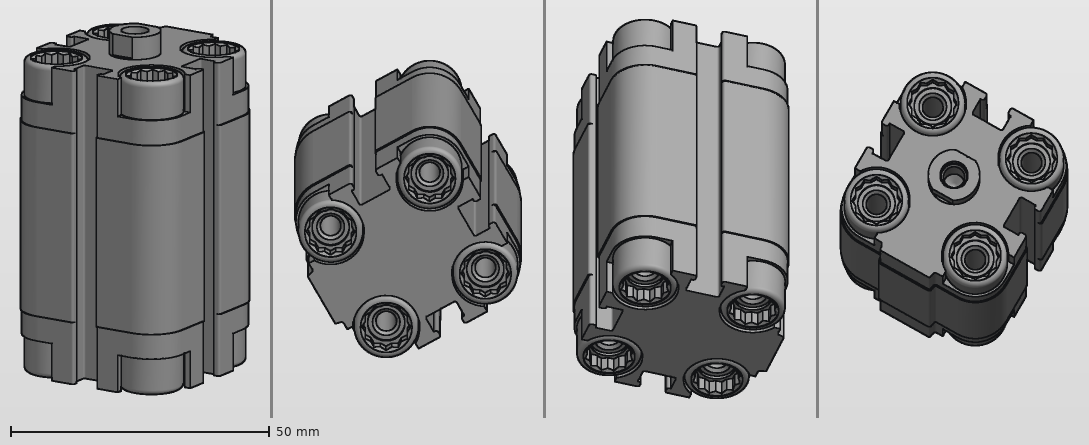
import cadquery as cq
import math

TOTAL_HEIGHT = 67.5
HOUSING_HEIGHT = 63.0
BARREL_BOTTOM = 12.5
BARREL_TOP = HOUSING_HEIGHT - BARREL_BOTTOM

BARREL_WIDTH = 36.0
BARREL_DEPTH = 37.5
BARREL_HALF_WIDTH = BARREL_WIDTH / 2
BOSS_OFFSET = 11.0
RIDGE_TOP_Y = BARREL_DEPTH - BARREL_HALF_WIDTH
RIDGE_BASE_HALF_WIDTH = 6.1
RIDGE_TOP_HALF_WIDTH = 5.75
RIDGE_EDGE_RADIUS = 0.5
RIDGE_ROOT_RADIUS = 0.3

END_INSET = 0.235
END_RIDGE_TOP_Y = 19.25

SLOT_MOUTH_HALF_WIDTH = 2.6
SLOT_INNER_HALF_WIDTH = 3.4
SLOT_FLOOR = 12.9
SLOT_LIP_INNER = 16.3
SLOT_FLOOR_RADIUS = 0.4
LIP_INNER_RADIUS = 0.5
LIP_OUTER_RADIUS = 0.5
SLOT_OVERSHOOT = 0.7

POCKET_DEPTH = 7.5
POCKET_EDGE = 7.6
POCKET_RADIUS = 6.5
BOSS_DIAMETER = 12.5
BOSS_EDGE_RADIUS = 1.0

MOUTH_DIAMETER = 10.0
MOUTH_DEPTH = 0.2
MOUTH_CONE_SLOPE = 30.0
SOCKET_ACROSS_FLATS = 8.1
SOCKET_DEPTH = 3.3
COUNTERBORE_DIAMETER = 7.2
COUNTERBORE_DEPTH = 4.0
CONE_DIAMETER = 5.3
THROUGH_DIAMETER = 4.0

ROD_DIAMETER = 10.0
ROD_ACROSS_FLATS = 8.9
ROD_COLLAR = 0.3
ROD_INSERTION = HOUSING_HEIGHT - BARREL_TOP
ROD_COUNTERBORE_DIAMETER = 5.3
ROD_COUNTERBORE_DEPTH = 2.0
ROD_THREAD_MOUTH_DIAMETER = 5.0
ROD_THREAD_DIAMETER = 4.1
ROD_HOLE_DEPTH = 10.1
DRILL_TIP_ANGLE = 118.0


def slot_cutter(face, height):
    """T-slot prism opening through the -Y face at y = -face, with rounded lips."""
    mouth_edge = SLOT_MOUTH_HALF_WIDTH + LIP_OUTER_RADIUS
    half = (
        cq.Workplane("XY")
        .moveTo(0, -SLOT_FLOOR)
        .lineTo(SLOT_INNER_HALF_WIDTH - SLOT_FLOOR_RADIUS, -SLOT_FLOOR)
        .radiusArc((SLOT_INNER_HALF_WIDTH, -SLOT_FLOOR - SLOT_FLOOR_RADIUS), SLOT_FLOOR_RADIUS)
        .lineTo(SLOT_INNER_HALF_WIDTH, -SLOT_LIP_INNER)
        .lineTo(SLOT_MOUTH_HALF_WIDTH + LIP_INNER_RADIUS, -SLOT_LIP_INNER)
        .radiusArc((SLOT_MOUTH_HALF_WIDTH, -SLOT_LIP_INNER - LIP_INNER_RADIUS), -LIP_INNER_RADIUS)
        .lineTo(SLOT_MOUTH_HALF_WIDTH, -face + LIP_OUTER_RADIUS)
        .radiusArc((mouth_edge, -face), -LIP_OUTER_RADIUS)
        .lineTo(mouth_edge, -face - SLOT_OVERSHOOT)
        .lineTo(0, -face - SLOT_OVERSHOOT)
        .mirrorY()
    )
    return half.extrude(height)


def profile_section(inset, ridge_top_y, height):
    """Rounded square with a ridge on +Y and three T-slots, extruded up from z = 0."""
    face = BARREL_HALF_WIDTH - inset
    section = (
        cq.Workplane("XY")
        .rect(2 * face, 2 * face)
        .extrude(height)
        .edges("|Z")
        .fillet(face - BOSS_OFFSET)
    )
    ridge = (
        cq.Workplane("XY")
        .polyline([
            (-RIDGE_BASE_HALF_WIDTH + inset, 0),
            (-RIDGE_BASE_HALF_WIDTH + inset, face),
            (-RIDGE_TOP_HALF_WIDTH + inset, ridge_top_y),
            (RIDGE_TOP_HALF_WIDTH - inset, ridge_top_y),
            (RIDGE_BASE_HALF_WIDTH - inset, face),
            (RIDGE_BASE_HALF_WIDTH - inset, 0),
        ])
        .close()
        .extrude(height)
        .edges("|Z and >Y")
        .fillet(RIDGE_EDGE_RADIUS - inset)
    )
    section = section.union(ridge)
    for root_x in (-RIDGE_BASE_HALF_WIDTH + inset, RIDGE_BASE_HALF_WIDTH - inset):
        root = cq.selectors.NearestToPointSelector((root_x, face, height / 2))
        section = section.edges(root).fillet(RIDGE_ROOT_RADIUS + inset)
    for angle in (-90, 0, 90):
        section = section.cut(slot_cutter(face, height).rotate((0, 0, 0), (0, 0, 1), angle))
    return section


def corner_pocket():
    """Cutter for the (+X, +Y) corner at the top, leaving the boss standing."""
    floor = HOUSING_HEIGHT - POCKET_DEPTH
    plane = cq.Workplane("XY", origin=(0, 0, floor))
    corner = plane.moveTo(POCKET_EDGE, POCKET_EDGE)
    corner = corner.rect(BARREL_HALF_WIDTH, BARREL_HALF_WIDTH, centered=False).extrude(POCKET_DEPTH)
    round_part = plane.center(BOSS_OFFSET, BOSS_OFFSET).circle(POCKET_RADIUS).extrude(POCKET_DEPTH)
    boss = (
        plane.center(BOSS_OFFSET, BOSS_OFFSET)
        .circle(BOSS_DIAMETER / 2)
        .extrude(POCKET_DEPTH)
        .faces(">Z")
        .edges()
        .fillet(BOSS_EDGE_RADIUS)
    )
    return corner.union(round_part).cut(boss)


def round_bore(points):
    """Solid of revolution about Z from its (radius, z) outline; the axis closes it."""
    return cq.Workplane("XZ").polyline(points).close().revolve(360, (0, 0, 0), (0, 1, 0))


def boss_socket():
    """Cutter for the socket and hole of the (+X, +Y) boss, from the top to mid-height."""
    top = HOUSING_HEIGHT
    socket_floor = top - SOCKET_DEPTH
    mouth_floor = top - MOUTH_DEPTH
    counterbore_floor = top - COUNTERBORE_DEPTH
    mouth_radius = MOUTH_DIAMETER / 2
    mouth_cone_width = mouth_radius - COUNTERBORE_DIAMETER / 2
    mouth_cone_drop = mouth_cone_width * math.tan(math.radians(MOUTH_CONE_SLOPE))
    cone_drop = (CONE_DIAMETER - THROUGH_DIAMETER) / 2
    bore = round_bore([
        (0, top),
        (mouth_radius, top),
        (mouth_radius, mouth_floor),
        (COUNTERBORE_DIAMETER / 2, mouth_floor - mouth_cone_drop),
        (COUNTERBORE_DIAMETER / 2, counterbore_floor),
        (CONE_DIAMETER / 2, counterbore_floor),
        (THROUGH_DIAMETER / 2, counterbore_floor - cone_drop),
        (THROUGH_DIAMETER / 2, HOUSING_HEIGHT / 2),
        (0, HOUSING_HEIGHT / 2),
    ])
    across_corners = SOCKET_ACROSS_FLATS / math.cos(math.pi / 6)
    hexagon = (
        cq.Workplane("XY", origin=(0, 0, socket_floor))
        .polygon(6, across_corners)
        .extrude(mouth_floor - socket_floor)
    )
    star = hexagon.union(hexagon.rotate((0, 0, 0), (0, 0, 1), 30))
    return bore.union(star).translate((BOSS_OFFSET, BOSS_OFFSET, 0))


def make_housing():
    """Barrel with both end sections, corner bosses and the blind bore for the rod."""
    housing = profile_section(END_INSET, END_RIDGE_TOP_Y, HOUSING_HEIGHT)
    barrel = profile_section(0, RIDGE_TOP_Y, BARREL_TOP - BARREL_BOTTOM)
    housing = housing.union(barrel.translate((0, 0, BARREL_BOTTOM)))

    mid_height = (0, 0, HOUSING_HEIGHT / 2)
    for top_cutter in (corner_pocket(), boss_socket()):
        bottom_cutter = top_cutter.mirror("XY", mid_height)
        for cutter in (top_cutter, bottom_cutter):
            for side in (cutter, cutter.mirror("YZ")):
                housing = housing.cut(side).cut(side.mirror("XZ"))

    rod_bore = (
        cq.Workplane("XY", origin=(0, 0, HOUSING_HEIGHT - ROD_INSERTION))
        .circle(ROD_DIAMETER / 2)
        .extrude(ROD_INSERTION)
    )
    return housing.cut(rod_bore)


def make_piston_rod():
    """Rod with two wrench flats facing -Y and +Y and a drilled, counterbored top hole."""
    rod_bottom = HOUSING_HEIGHT - ROD_INSERTION
    rod = (
        cq.Workplane("XY", origin=(0, 0, rod_bottom))
        .circle(ROD_DIAMETER / 2)
        .extrude(TOTAL_HEIGHT - rod_bottom)
    )
    flats_bottom = HOUSING_HEIGHT + ROD_COLLAR
    flats = (
        cq.Workplane("XY", origin=(0, 0, flats_bottom))
        .rect(2 * ROD_DIAMETER, 2 * ROD_DIAMETER)
        .rect(2 * ROD_DIAMETER, ROD_ACROSS_FLATS)
        .extrude(TOTAL_HEIGHT - flats_bottom)
    )
    counterbore_radius = ROD_COUNTERBORE_DIAMETER / 2
    mouth_radius = ROD_THREAD_MOUTH_DIAMETER / 2
    thread_radius = ROD_THREAD_DIAMETER / 2
    counterbore_floor = TOTAL_HEIGHT - ROD_COUNTERBORE_DEPTH
    hole_bottom = TOTAL_HEIGHT - ROD_HOLE_DEPTH
    tip_height = thread_radius / math.tan(math.radians(DRILL_TIP_ANGLE / 2))
    hole = round_bore([
        (0, TOTAL_HEIGHT),
        (counterbore_radius, TOTAL_HEIGHT),
        (counterbore_radius, counterbore_floor),
        (mouth_radius, counterbore_floor),
        (thread_radius, counterbore_floor - (mouth_radius - thread_radius)),
        (thread_radius, hole_bottom),
        (0, hole_bottom - tip_height),
    ])
    return rod.cut(flats).cut(hole)


housing = make_housing()
piston_rod = make_piston_rod()
result = cq.Compound.makeCompound([housing.val(), piston_rod.val()])